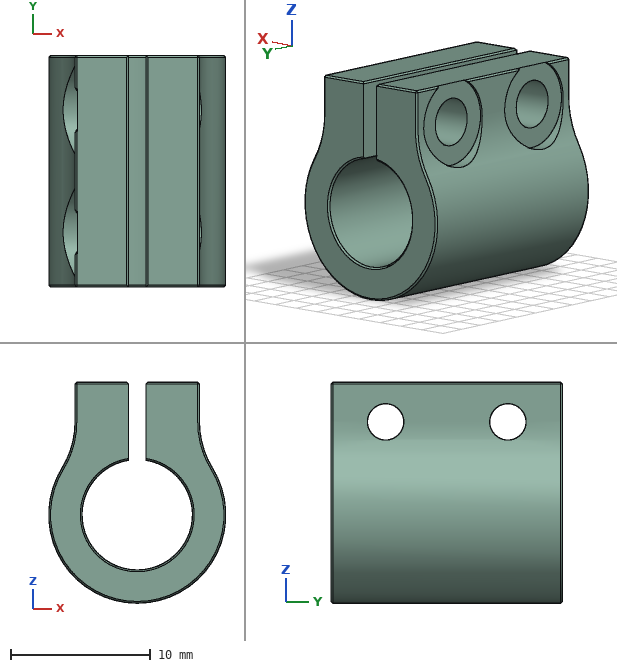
import cadquery as cq
import math

length = 16.57
outer_radius = 12.68 / 2
height = 15.82
top_z = height - outer_radius
bore_radius = 3.95
neck_half_width = 4.45
slot_width = 1.25
edge_chamfer = 0.13

blend_radius = outer_radius
blend_x = neck_half_width + blend_radius
blend_z = math.sqrt((outer_radius + blend_radius) ** 2 - blend_x**2)

screw_z = blend_z
screw_spacing = 8.75
clearance_radius = 1.72
tapped_radius = 1.3
head_radius = 3.16
head_seat_depth = 0.17
head_seat_x = -neck_half_width + head_seat_depth


def clamp_body():
    """Barrel and neck as one extrusion, with its ends and top edges chamfered."""
    tangent_x = blend_x * outer_radius / (outer_radius + blend_radius)
    tangent_z = blend_z * outer_radius / (outer_radius + blend_radius)
    half_angle = math.atan2(blend_z, blend_x) / 2
    blend_mid_x = blend_x - blend_radius * math.cos(half_angle)
    blend_mid_z = blend_z - blend_radius * math.sin(half_angle)
    body = (
        cq.Workplane("XZ")
        .moveTo(-neck_half_width, top_z)
        .lineTo(neck_half_width, top_z)
        .lineTo(neck_half_width, blend_z)
        .threePointArc((blend_mid_x, blend_mid_z), (tangent_x, tangent_z))
        .threePointArc((0, -outer_radius), (-tangent_x, tangent_z))
        .threePointArc((-blend_mid_x, blend_mid_z), (-neck_half_width, blend_z))
        .close()
        .extrude(length / 2, both=True)
    )
    return body.faces("<Y or >Y or >Z").edges().chamfer(edge_chamfer)


def bore():
    """Through bore, widened by a chamfer at each end."""
    cylinder = cq.Workplane("XZ").circle(bore_radius).extrude(length / 2, both=True)
    for end in (-1, 1):
        mouth = cq.Solid.makeCone(
            bore_radius + edge_chamfer,
            bore_radius,
            edge_chamfer,
            pnt=cq.Vector(0, end * length / 2, 0),
            dir=cq.Vector(0, -end, 0),
        )
        cylinder = cylinder.union(cq.Workplane(mouth))
    return cylinder


def slot():
    """Split from the bore to the top face, flared by a chamfer at the top."""
    half_width = slot_width / 2
    flare_half_width = half_width + edge_chamfer
    return (
        cq.Workplane("XZ")
        .moveTo(-half_width, 0)
        .lineTo(half_width, 0)
        .lineTo(half_width, top_z - edge_chamfer)
        .lineTo(flare_half_width, top_z)
        .lineTo(-flare_half_width, top_z)
        .lineTo(-half_width, top_z - edge_chamfer)
        .close()
        .extrude(length / 2, both=True)
    )


def screw_cut(radius, start_x, end_x):
    """One coaxial cylinder along X for each of the two screws."""
    return (
        cq.Workplane("YZ", origin=(start_x, 0, screw_z))
        .pushPoints([(-screw_spacing / 2, 0), (screw_spacing / 2, 0)])
        .circle(radius)
        .extrude(end_x - start_x)
    )


result = clamp_body().cut(bore()).cut(slot())

result = (
    result.cut(screw_cut(tapped_radius, 0, outer_radius))
    .cut(screw_cut(clearance_radius, -outer_radius, 0))
    .cut(screw_cut(head_radius, -outer_radius, head_seat_x))
)